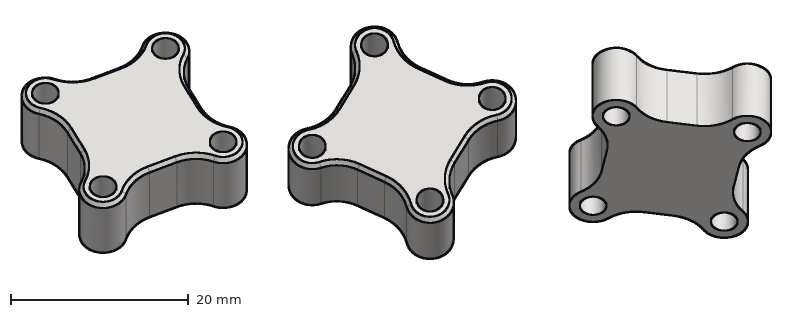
import cadquery as cq
import math

hole_spacing = 15.0
hole_diameter = 3.0
lobe_radius = 2.69
body_width = 15.1
blend_radius = 5.0
height = 8.54
top_chamfer = 0.5

hole_offset = hole_spacing / 2
half_width = body_width / 2
blend_centre_y = half_width + blend_radius
centre_distance = blend_radius + lobe_radius
blend_rise = blend_centre_y - hole_offset
blend_run = math.sqrt(centre_distance**2 - blend_rise**2)
flat_half_length = hole_offset - blend_run
lobe_share = lobe_radius / centre_distance
joint_x = hole_offset - blend_run * lobe_share
joint_y = hole_offset + blend_rise * lobe_share

blend_half_angle = math.atan2(blend_run, blend_rise) / 2
blend_mid_x = flat_half_length + blend_radius * math.sin(blend_half_angle)
blend_mid_y = blend_centre_y - blend_radius * math.cos(blend_half_angle)

lobe_tip = hole_offset + lobe_radius / math.sqrt(2)


def turned(point, quarter_turns):
    """Rotate a point clockwise about the origin by quarter turns."""
    x, y = point
    for _ in range(quarter_turns):
        x, y = y, -x
    return x, y


def make_body():
    """Four-lobed plate with a chamfered top edge."""
    outline = cq.Workplane("XY").moveTo(-flat_half_length, half_width)
    for side in range(4):
        flat_end = turned((flat_half_length, half_width), side)
        blend_mid = turned((blend_mid_x, blend_mid_y), side)
        lobe_start = turned((joint_x, joint_y), side)
        tip = turned((lobe_tip, lobe_tip), side)
        lobe_end = turned((joint_y, joint_x), side)
        next_blend_mid = turned((blend_mid_y, blend_mid_x), side)
        next_flat = turned((half_width, flat_half_length), side)
        outline = outline.lineTo(*flat_end)
        outline = outline.threePointArc(blend_mid, lobe_start)
        outline = outline.threePointArc(tip, lobe_end)
        outline = outline.threePointArc(next_blend_mid, next_flat)
    body = outline.close().extrude(height)
    return body.faces(">Z").edges().chamfer(top_chamfer)


def drill_corner_holes(body):
    """Through hole at the centre of each lobe."""
    holes = (
        cq.Workplane("XY")
        .rect(hole_spacing, hole_spacing, forConstruction=True)
        .vertices()
        .circle(hole_diameter / 2)
        .extrude(height)
    )
    return body.cut(holes)


result = drill_corner_holes(make_body())